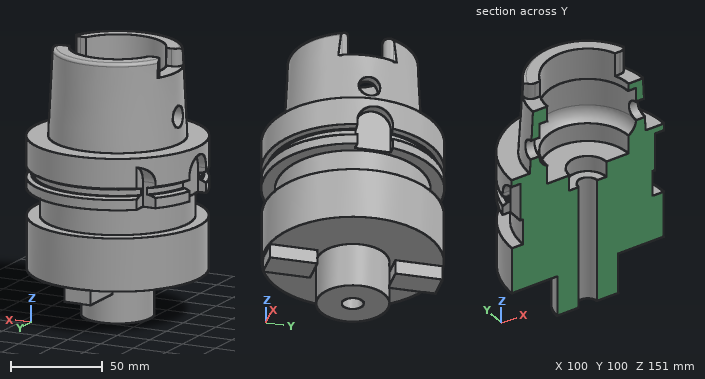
import cadquery as cq
import math


shank_length = 50.0
shank_base_radius = 38.0
shank_taper = 0.1
shank_tip_radius = shank_base_radius - shank_length * shank_taper / 2
shank_rim_fillet = 2.0

bore_radius = 26.5
undercut_radius = 31.5
bore_lip_height = 30.0
undercut_bottom = 9.4
undercut_root_radius = 10.0
bore_floor_height = -11.0
counterbore_radius = 12.0
counterbore_depth = 10.0
coolant_hole_radius = 6.0

access_hole_radius = 6.0
access_hole_height = 15.0

drive_slot_width = 20.0
left_drive_slot_depth = 10.0
right_drive_slot_depth = 15.0
drive_corner_radius = 4.5
drive_land_x = 32.3

flange_radius = 50.0
flange_thickness = 29.0
groove_center_height = -20.0
groove_mouth_width = 6.4
groove_floor_width = 3.8
groove_floor_radius = 46.0
groove_lip_radius = 47.2

pocket_radius = 10.0
pocket_top_height = -4.8
pocket_floor_x = 44.0
notch_corner = 31.3

neck_radius = 42.5
neck_bottom = -45.0
drum_radius = 49.75
drum_bottom = -75.0
pilot_radius = 20.0
pilot_length = 26.0
pilot_bottom = drum_bottom - pilot_length

key_width = 16.0
key_height = 8.4
key_inner_y = 22.0
key_outer_y = 48.6


def make_body():
    mouth_top = groove_center_height + groove_mouth_width / 2
    mouth_bottom = groove_center_height - groove_mouth_width / 2
    floor_top = groove_center_height + groove_floor_width / 2
    floor_bottom = groove_center_height - groove_floor_width / 2
    profile = [
        (0, pilot_bottom),
        (pilot_radius, pilot_bottom),
        (pilot_radius, drum_bottom),
        (drum_radius, drum_bottom),
        (drum_radius, neck_bottom),
        (neck_radius, neck_bottom),
        (neck_radius, -flange_thickness),
        (flange_radius, -flange_thickness),
        (flange_radius, mouth_bottom),
        (groove_lip_radius, floor_bottom),
        (groove_floor_radius, floor_bottom),
        (groove_floor_radius, floor_top),
        (groove_lip_radius, floor_top),
        (flange_radius, mouth_top),
        (flange_radius, 0),
        (shank_base_radius, 0),
        (shank_tip_radius, shank_length),
        (0, shank_length),
    ]
    body = cq.Workplane("XZ").polyline(profile).close().revolve(360, (0, 0), (0, 1))
    return body.faces(">Z").edges().fillet(shank_rim_fillet)


def make_bore():
    """Bore, coolant passage and an undercut whose lower end curves back in to the bore radius."""
    arc_center_radius = undercut_radius - undercut_root_radius
    arc_angle = math.acos((bore_radius - arc_center_radius) / undercut_root_radius)
    arc_end_height = undercut_bottom - undercut_root_radius * math.sin(arc_angle)
    arc_middle = (
        arc_center_radius + undercut_root_radius * math.cos(arc_angle / 2),
        undercut_bottom - undercut_root_radius * math.sin(arc_angle / 2),
    )
    counterbore_bottom = bore_floor_height - counterbore_depth
    profile = (
        cq.Workplane("XZ")
        .moveTo(0, pilot_bottom)
        .lineTo(coolant_hole_radius, pilot_bottom)
        .lineTo(coolant_hole_radius, counterbore_bottom)
        .lineTo(counterbore_radius, counterbore_bottom)
        .lineTo(counterbore_radius, bore_floor_height)
        .lineTo(bore_radius, bore_floor_height)
        .lineTo(bore_radius, arc_end_height)
        .threePointArc(arc_middle, (undercut_radius, undercut_bottom))
        .lineTo(undercut_radius, bore_lip_height)
        .lineTo(bore_radius, bore_lip_height)
        .lineTo(bore_radius, shank_length)
        .lineTo(0, shank_length)
        .close()
    )
    return profile.revolve(360, (0, 0), (0, 1))


def make_access_holes():
    drill = cq.Workplane("YZ").center(0, access_hole_height).circle(access_hole_radius)
    return drill.extrude(shank_base_radius, both=True)


def make_drive_slot(side, depth):
    """Slot across the +X (side = 1) or -X (side = -1) wall that flares into a flat land outside."""
    half_width = drive_slot_width / 2
    flare_x = drive_land_x - drive_corner_radius
    land_y = half_width + drive_corner_radius
    mid_x = flare_x + drive_corner_radius * math.sin(math.pi / 4)
    mid_y = land_y - drive_corner_radius * math.cos(math.pi / 4)
    outline = (
        cq.Workplane("XY")
        .moveTo(0, -half_width)
        .lineTo(flare_x, -half_width)
        .threePointArc((mid_x, -mid_y), (drive_land_x, -land_y))
        .lineTo(drive_land_x, -shank_base_radius)
        .lineTo(flange_radius, -shank_base_radius)
        .lineTo(flange_radius, shank_base_radius)
        .lineTo(drive_land_x, shank_base_radius)
        .lineTo(drive_land_x, land_y)
        .threePointArc((mid_x, mid_y), (flare_x, half_width))
        .lineTo(0, half_width)
        .close()
    )
    slot = outline.extrude(depth).translate((0, 0, shank_length - depth))
    if side < 0:
        slot = slot.mirror("YZ")
    return slot


def make_flange_pocket(side, center_y, floor_x):
    """Round-topped pocket cut inward along X and open through the flange's lower face."""
    arc_center = pocket_top_height - pocket_radius
    outline = (
        cq.Workplane("YZ", origin=(side * floor_x, 0, 0))
        .moveTo(center_y - pocket_radius, -flange_thickness)
        .lineTo(center_y - pocket_radius, arc_center)
        .threePointArc((center_y, pocket_top_height), (center_y + pocket_radius, arc_center))
        .lineTo(center_y + pocket_radius, -flange_thickness)
        .close()
    )
    return outline.extrude(side * flange_radius)


def make_key(y_side):
    length = key_outer_y - key_inner_y
    key = cq.Workplane("XY").box(key_width, length, key_height, centered=(True, True, False))
    middle_y = y_side * (key_inner_y + key_outer_y) / 2
    return key.translate((0, middle_y, drum_bottom - key_height))


result = make_body().cut(make_bore()).cut(make_access_holes())
result = result.cut(make_drive_slot(-1, left_drive_slot_depth))
result = result.cut(make_drive_slot(1, right_drive_slot_depth))
for side in (-1, 1):
    result = result.cut(make_flange_pocket(side, 0, pocket_floor_x))
result = result.cut(make_flange_pocket(-1, notch_corner + pocket_radius, notch_corner))
for y_side in (-1, 1):
    result = result.union(make_key(y_side))